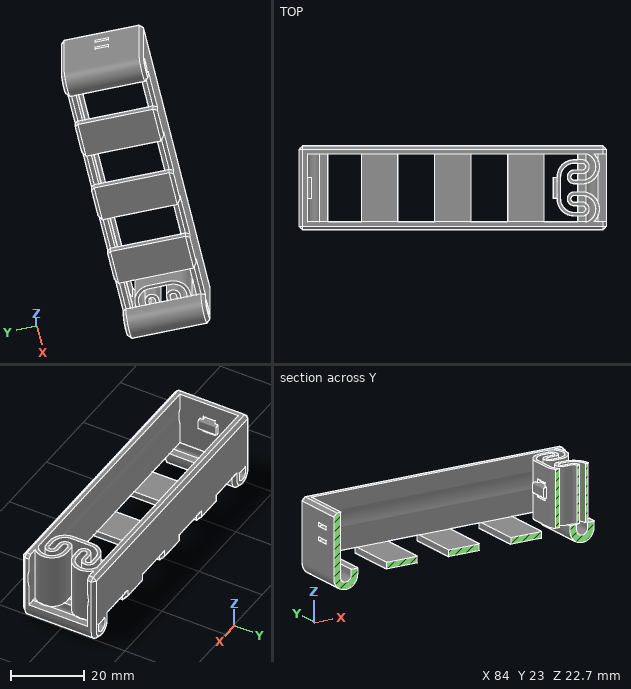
import cadquery as cq
import math

length = 84.0
width = 23.0
height = 22.7

wall = 2.3
end_wall = 2.35
edge_chamfer = 1.0

foot_radius = 3.95
channel_radius = foot_radius - wall

floor_top = foot_radius + channel_radius
bar_thickness = 2.0
bar_bottom = floor_top - bar_thickness
bar_width = 10.0
bar_pitch = 2 * bar_width
bar_count = 3

inner_half_width = width / 2 - wall
cell_radius = 9.6
cell_axis_z = floor_top + inner_half_width

spring_thickness = 1.0
bend_radius = 4.2
outer_bend_x = 77.4
fold_radius = bend_radius / 3
fold_x = 75.2
spring_front_x = fold_x - bend_radius
spring_lane_y = 1.6

slot_width = 3.8
slot_height = 1.0
slot_pitch = 4.1
slots_center_z = 15.3
bump_length = 5.7
bump_depth = 1.1
bump_round = 0.5
bump_height = slot_pitch - slot_height


def box(x_min, x_max, y_size, z_min, z_max):
    """Block centred on Y = 0."""
    block = cq.Workplane("XY").box(x_max - x_min, y_size, z_max - z_min, centered=(False, True, False))
    return block.translate((x_min, 0, z_min))


def u_prism(center_x, radius, top_z):
    """Full-width U-shaped prism for a foot or its channel, with a half-round lower end."""
    return (
        cq.Workplane("XZ", origin=(center_x, width / 2, 0))
        .moveTo(-radius, top_z)
        .lineTo(-radius, foot_radius)
        .threePointArc((0, foot_radius - radius), (radius, foot_radius))
        .lineTo(radius, top_z)
        .close()
        .extrude(width)
    )


def outer_body():
    """Solid block on two feet, with stepped bars below and chamfered outer edges."""
    body = box(0, length, width, floor_top, height)
    for foot_x in foot_centers:
        body = body.union(u_prism(foot_x, foot_radius, height))
    for bar_x in bar_centers:
        bar = box(bar_x - bar_width / 2, bar_x + bar_width / 2, width, bar_bottom, height)
        body = body.union(bar)
    body = body.clean()
    return body.faces("<Y or >Y or >Z").edges().chamfer(edge_chamfer)


def cavity():
    """Open-topped space for the cell, open at the +X end as well."""
    space = box(end_wall, length, 2 * inner_half_width, floor_top, height)
    cell = (
        cq.Workplane("YZ", origin=(end_wall, 0, cell_axis_z))
        .circle(cell_radius)
        .extrude(length - end_wall)
        .intersect(box(end_wall, length, width, floor_top, height))
    )
    return space.union(cell)


def windows():
    """Openings in the floor between the bars and the feet."""
    inner_width = 2 * inner_half_width
    floor_gap = box(2 * foot_radius, length - 2 * foot_radius, inner_width, bar_bottom, floor_top)
    for bar_x in bar_centers:
        bar = box(bar_x - bar_width / 2, bar_x + bar_width / 2, inner_width, bar_bottom, floor_top)
        floor_gap = floor_gap.cut(bar)
    return floor_gap


def spring():
    """Ribbon folded from one long wall to the other around a flat front."""
    wall_y = spring_lane_y + 2 * bend_radius
    middle_y = spring_lane_y + 2 * fold_radius
    front_y = spring_lane_y + 4 * fold_radius
    corner_y = front_y - bend_radius
    corner_mid = bend_radius * math.sqrt(0.5)
    path = (
        cq.Workplane("XY", origin=(0, 0, floor_top))
        .moveTo(outer_bend_x, wall_y)
        .threePointArc((outer_bend_x + bend_radius, spring_lane_y + bend_radius),
                       (outer_bend_x, spring_lane_y))
        .lineTo(fold_x, spring_lane_y)
        .threePointArc((fold_x - fold_radius, spring_lane_y + fold_radius), (fold_x, middle_y))
        .lineTo(outer_bend_x, middle_y)
        .threePointArc((outer_bend_x + fold_radius, middle_y + fold_radius), (outer_bend_x, front_y))
        .lineTo(fold_x, front_y)
        .threePointArc((fold_x - corner_mid, corner_y + corner_mid), (spring_front_x, corner_y))
        .lineTo(spring_front_x, 0)
    )
    half = (
        cq.Workplane("YZ", origin=(outer_bend_x, wall_y, (floor_top + height) / 2))
        .rect(spring_thickness, height - floor_top)
        .sweep(path)
    )
    return half.union(half.mirror("XZ"))


def contact_bump(face_x, direction):
    """Bar standing out from a contact wall, with rounded outer edges along Y."""
    x_min, x_max = sorted((face_x, face_x + direction * bump_depth))
    z_min = slots_center_z - bump_height / 2
    bump = box(x_min, x_max, bump_length, z_min, z_min + bump_height)
    outer_face = ">X" if direction > 0 else "<X"
    return bump.faces(outer_face).edges("|Y").fillet(bump_round)


foot_centers = (foot_radius, length - foot_radius)
bar_centers = [length / 2 + (i - (bar_count - 1) / 2) * bar_pitch for i in range(bar_count)]

result = outer_body().cut(cavity()).cut(windows())
for foot_x in foot_centers:
    result = result.cut(u_prism(foot_x, channel_radius, floor_top))

result = result.union(spring())
result = result.union(contact_bump(end_wall, 1))
spring_face_x = spring_front_x - spring_thickness / 2
result = result.union(contact_bump(spring_face_x, -1))

spring_back_x = spring_front_x + spring_thickness / 2
for side in (-1, 1):
    slot_z = slots_center_z + side * slot_pitch / 2
    slot = box(0, spring_back_x, slot_width, slot_z - slot_height / 2, slot_z + slot_height / 2)
    result = result.cut(slot)